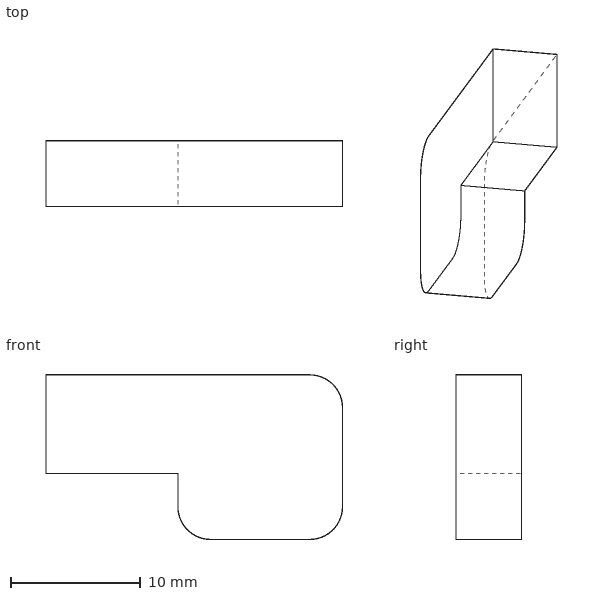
import cadquery as cq

length = 22.86
thickness = 5.08
height = 12.7
arm_length = 10.16
arm_height = 7.62
corner_radius = 2.54

arm_underside = height - arm_height


def make_profile():
    """Side outline in XZ: a square-ended arm running into a deeper head."""
    return (
        cq.Workplane("XZ")
        .moveTo(0, height)
        .lineTo(length, height)
        .lineTo(length, 0)
        .lineTo(arm_length, 0)
        .lineTo(arm_length, arm_underside)
        .lineTo(0, arm_underside)
        .close()
    )


def round_head_corners(body):
    """Round both right-hand corners and the lower left corner of the head."""
    right_edges = body.faces(">X").edges("|Y")
    bottom_edges = body.faces("<Z").edges("|Y")
    return body.newObject(right_edges.add(bottom_edges).vals()).fillet(corner_radius)


blank = make_profile().extrude(-thickness)
result = round_head_corners(blank)